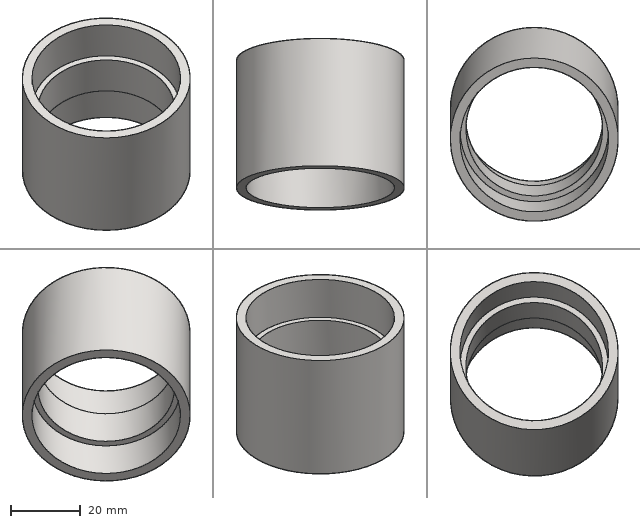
import cadquery as cq

outer_diameter = 48.3
height = 38.0
socket_diameter = 42.7
bore_diameter = 39.3
socket_depth = height / 3

sleeve = cq.Workplane("XY").circle(outer_diameter / 2).circle(bore_diameter / 2).extrude(height)


def socket(base_height):
    """Cylinder of space for a pipe end, starting at the given height."""
    return cq.Workplane("XY").workplane(offset=base_height).circle(socket_diameter / 2).extrude(socket_depth)


result = sleeve
for base_height in (0, height - socket_depth):
    result = result.cut(socket(base_height))